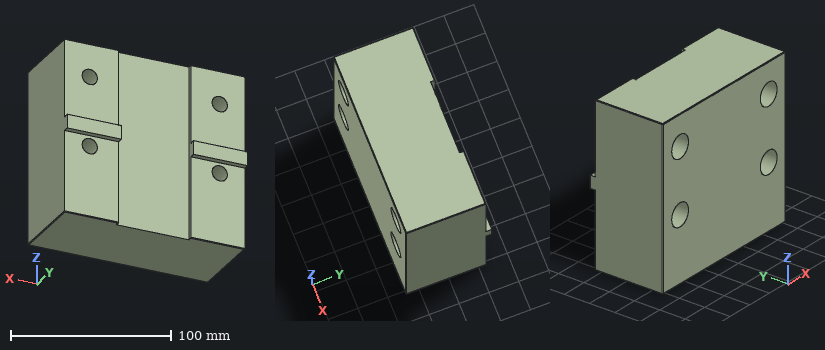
import cadquery as cq

width = 125.0
height = 120.0
overall_depth = 57.6
key_projection = 4.0
block_depth = overall_depth - key_projection
edge_chamfer = 0.5

key_height = 9.5
key_center_z = 1.0
channel_width = 50.0
channel_depth = 3.0

hole_diameter = 10.5
counterbore_diameter = 17.0
counterbore_depth = 25.0
hole_spacing_x = 90.0
upper_hole_z = 37.0
hole_spacing_z = 48.0


def make_block():
    """Rectangular block with its front, top and bottom edges lightly chamfered."""
    block = cq.Workplane("XY").box(width, block_depth, height)
    return block.faces("<Y or >Z or <Z").edges().chamfer(edge_chamfer).translate((0, block_depth / 2, 0))


def make_key():
    """Full-width key, standing on the back face."""
    root = edge_chamfer
    key = cq.Workplane("XY").box(width, key_projection + root, key_height)
    return key.translate((0, overall_depth - (key_projection + root) / 2, key_center_z))


def make_channel():
    """Cutter for the channel through the key and into the back face."""
    depth = channel_depth + key_projection
    channel = cq.Workplane("XY").box(channel_width, depth, height)
    return channel.translate((0, overall_depth - depth / 2, 0))


def make_hole_cutter(x, z):
    """Through hole along Y with a counterbore from the front face."""
    front = cq.Workplane("XZ").center(x, z)
    hole = front.circle(hole_diameter / 2).extrude(-block_depth)
    counterbore = front.circle(counterbore_diameter / 2).extrude(-counterbore_depth)
    return hole.union(counterbore)


result = make_block().union(make_key()).cut(make_channel())
for hole_x in (-hole_spacing_x / 2, hole_spacing_x / 2):
    for hole_z in (upper_hole_z, upper_hole_z - hole_spacing_z):
        result = result.cut(make_hole_cutter(hole_x, hole_z))